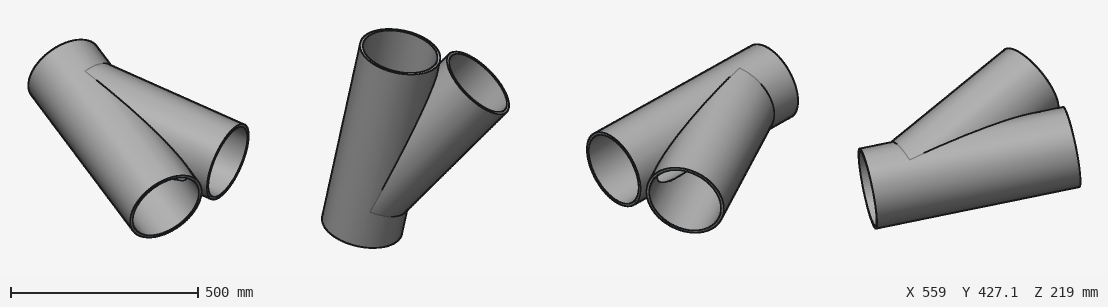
import cadquery as cq
import math

outer_diameter = 219.0
bore_diameter = 203.0
run_length = 559.0
branch_angle = 30.0
branch_start = 114.0
branch_length = 445.5

angle = math.radians(branch_angle)
run_axis = cq.Vector(1, 0, 0)
branch_axis = cq.Vector(math.cos(angle), math.sin(angle), 0)
run_origin = cq.Vector(0, 0, 0)
branch_origin = cq.Vector(branch_start, 0, 0)


def branched_cylinder(diameter):
    """Joined solid cylinders of one diameter along the run and the branch."""
    radius = diameter / 2
    run = cq.Solid.makeCylinder(radius, run_length, run_origin, run_axis)
    branch = cq.Solid.makeCylinder(radius, branch_length, branch_origin, branch_axis)
    return cq.Workplane(run).union(cq.Workplane(branch))


result = branched_cylinder(outer_diameter).cut(branched_cylinder(bore_diameter))